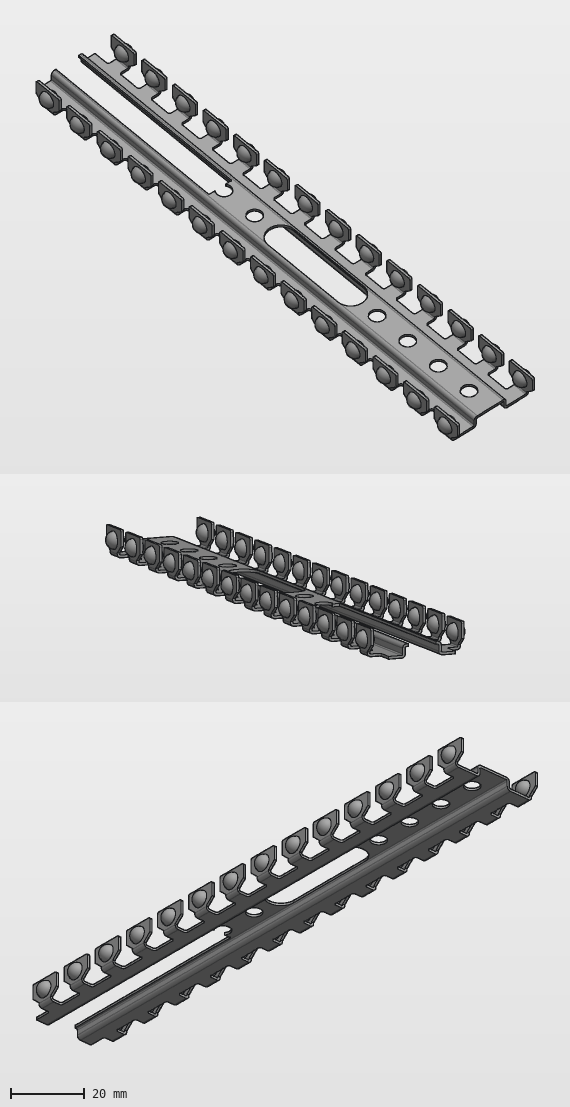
import cadquery as cq

overall_length = 177.8
overall_width = 32.2
overall_height = 8.2
sheet = 0.8
inner_bend = 0.4
outer_bend = inner_bend + sheet

channel_width = 11.5
channel_height = 4.0

tab_count = 14
tab_width = 9.6
first_tab_x = 7.8
last_tab_x = overall_length - tab_width / 2
pitch = (last_tab_x - first_tab_x) / (tab_count - 1)
tab_shoulder_z = 3.5
tab_corner = 0.5
ball_diameter = 5.2
ball_z = 4.6
tab_mid_y = (overall_width - ball_diameter) / 2
tab_outer_y = tab_mid_y + sheet / 2
tab_inner_y = tab_outer_y - sheet

neck_width = 4.8
neck_top_z = 1.5
neck_root_fillet = 0.7
flange_edge_y = 10.0
rail_length = last_tab_x + neck_width / 2

hole_diameter = 4.8
hole_gaps = (4, 5, 9, 10, 11, 12)
open_slot_width = 8.2
open_slot_length = 63.5
long_slot_width = 9.2
long_slot_length = 3 * pitch
long_slot_gap = 7


def gap_centre(index):
    """X midway between tab number index (from 0) and the next one."""
    return first_tab_x + (index + 0.5) * pitch


def round_bends(body, bends, radius):
    """Round the lengthwise edges at the given (y, z) positions on both sides."""
    for y, z in bends:
        for side in (-1, 1):
            point = (rail_length / 2, side * y, z)
            body = body.edges(cq.selectors.NearestToPointSelector(point)).fillet(radius)
    return body


def bent_strip():
    """Full-length hat section with its outer edges turned up."""
    wall_y = channel_width / 2
    half_outline = [
        (wall_y, channel_height),
        (wall_y, sheet),
        (tab_inner_y, sheet),
        (tab_inner_y, neck_top_z),
        (tab_outer_y, neck_top_z),
        (tab_outer_y, 0),
        (wall_y - sheet, 0),
        (wall_y - sheet, channel_height - sheet),
    ]
    mirrored_half = [(-y, z) for y, z in reversed(half_outline)]
    body = cq.Workplane("YZ").polyline(half_outline + mirrored_half).close().extrude(rail_length)
    outside = [(tab_outer_y, 0), (wall_y - sheet, 0), (wall_y, channel_height)]
    inside = [(tab_inner_y, sheet), (wall_y, sheet), (wall_y - sheet, channel_height - sheet)]
    body = round_bends(body, outside, outer_bend)
    return round_bends(body, inside, inner_bend)


def edge_notch():
    """Cutter that clears the +Y flange edge between two necks, centred on X = 0."""
    return (
        cq.Workplane("XY")
        .box(pitch - neck_width, tab_outer_y, overall_height, centered=(True, False, False))
        .edges("|Z and <Y")
        .fillet(neck_root_fillet)
        .translate((0, flange_edge_y, 0))
    )


def tab_with_ball():
    """Upright tab narrowing down to its neck, with a ball through it, at X = 0."""
    half_tab = tab_width / 2
    half_neck = neck_width / 2
    plate = (
        cq.Workplane("XZ")
        .polyline([
            (-half_neck, neck_top_z),
            (half_neck, neck_top_z),
            (half_tab, tab_shoulder_z),
            (half_tab, overall_height),
            (-half_tab, overall_height),
            (-half_tab, tab_shoulder_z),
        ])
        .close()
        .extrude(sheet / 2, both=True)
        .edges("|Y and >Z")
        .fillet(tab_corner)
    )
    ball = cq.Workplane("XY").sphere(ball_diameter / 2).translate((0, 0, ball_z))
    return plate.union(ball)


def web_openings():
    """Cutters for the open slot, the long slot and the round holes."""
    open_slot = cq.Workplane("XY").box(
        open_slot_length, open_slot_width, overall_height, centered=(False, True, False)
    )
    long_slot = (
        cq.Workplane("XY")
        .center(gap_centre(long_slot_gap), 0)
        .slot2D(long_slot_length, long_slot_width)
        .extrude(overall_height)
    )
    holes = (
        cq.Workplane("XY")
        .pushPoints([(gap_centre(i), 0) for i in hole_gaps])
        .circle(hole_diameter / 2)
        .extrude(overall_height)
    )
    return open_slot.union(long_slot).union(holes)


rail = bent_strip().cut(web_openings())

notch = edge_notch()
for gap in range(-1, tab_count - 1):
    gap_notch = notch.translate((gap_centre(gap), 0, 0))
    rail = rail.cut(gap_notch).cut(gap_notch.mirror("XZ"))

tab = tab_with_ball()
for index in range(tab_count):
    tab_x = first_tab_x + index * pitch
    for tab_y in (-tab_mid_y, tab_mid_y):
        rail = rail.union(tab.translate((tab_x, tab_y, 0)))

result = rail